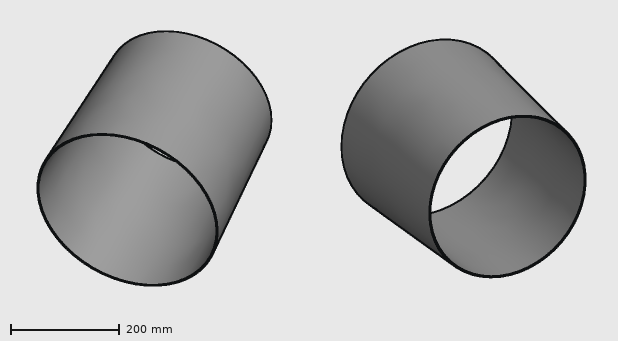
import cadquery as cq

large_diameter = 355.5
small_diameter = 324.0
length = 330.0
wall = 3.0

large_radius = large_diameter / 2
small_radius = small_diameter / 2

wall_section = (
    cq.Workplane("XY")
    .moveTo(large_radius - wall, 0)
    .lineTo(large_radius, 0)
    .lineTo(small_radius, length)
    .lineTo(small_radius - wall, length)
    .close()
)

result = wall_section.revolve(360, (0, 0, 0), (0, 1, 0))